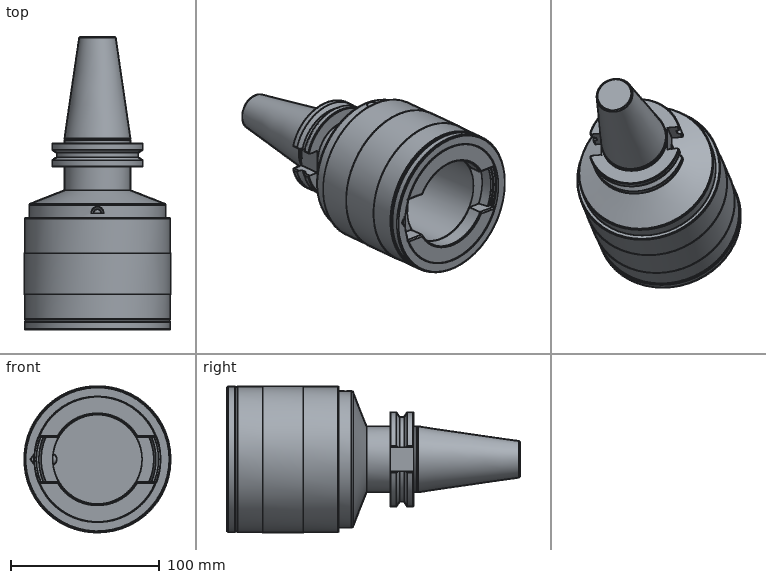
import cadquery as cq
import math


TOTAL_LENGTH = 196.8

GAUGE_RADIUS = 44.45 / 2
TAPER_LENGTH = 68.25
TAPER_HALF_SLOPE = 7 / 48
TAPER_TIP_RADIUS = GAUGE_RADIUS - TAPER_LENGTH * TAPER_HALF_SLOPE
TIP_CHAMFER = 0.8
RELIEF_DEPTH = 0.3
RELIEF_WIDTH = 1.0

FLANGE_RADIUS = 63.5 / 2
FLANGE_BACK_Y = -3.18
FLANGE_FRONT_Y = -19.05
FLANGE_CHAMFER = 0.5
GROOVE_BACK_Y = -7.5
GROOVE_FRONT_Y = -14.8
GROOVE_FLOOR_RADIUS = 28.6
GROOVE_RUN = 2.15

DRIVE_SLOT_WIDTH = 16.1
DRIVE_SLOT_FLOOR = 22.6
DRIVE_SLOT_CHAMFER = 1.0

NECK_RADIUS = GAUGE_RADIUS
NECK_END_Y = -34.8
COLLAR_RADIUS = 46.0
COLLAR_BACK_Y = -43.9
COLLAR_BEVEL = 1.1

BODY_RADIUS = 98.0 / 2
BODY_BACK_Y = -53.4
BODY_FRONT_Y = TAPER_LENGTH - TOTAL_LENGTH
BODY_CHAMFER = 0.8
BODY_BACK_CHAMFER = 0.6
BAND_RADIUS = 98.5 / 2
BAND_BACK_Y = -77.2
BAND_FRONT_Y = -104.6
RING_GROOVE_BACK_Y = -121.2
RING_GROOVE_FRONT_Y = -123.4
RING_GROOVE_DEPTH = 0.4

BORE_RADIUS = 30.0
BORE_DEPTH = 65.0
MOUTH_BORE_RADIUS = 30.3
MOUTH_BORE_CHAMFER = 0.7
INSERT_RADIUS = 42.3
SEAM_WIDTH = 0.3
SEAM_DEPTH = 0.3
MOUTH_SLOT_WIDTH = 29.8
MOUTH_SLOT_DEPTH = 11.3
MOUTH_SLOT_CHAMFER = 1.0
SLOT_FLOOR_RADIUS = 37.8
SLOT_WALL_RADIUS = 39.3
SLOT_LEDGE_RADIUS = 41.0
SLOT_LIP_DEPTH = 4.2
CLIP_GROOVE_RADIUS = 42.7
CLIP_GROOVE_START = 2.4
CLIP_GROOVE_END = 3.4

PIN_RADIUS = 4.0
PIN_TIP_X = -27.3
PIN_CENTER_X = PIN_TIP_X - PIN_RADIUS
PIN_Y = BODY_FRONT_Y + MOUTH_SLOT_DEPTH + PIN_RADIUS

MARK_TIP_RADIUS = 45.0
MARK_WIDTH = 7.0
MARK_DEPTH = 2.0

POCKET_Y = -50.1
POCKET_RADIUS = 4.3
POCKET_FLOOR_RADIUS = 2.5
POCKET_DEPTH = POCKET_RADIUS - POCKET_FLOOR_RADIUS

ORIGIN = (0, 0, 0)
AXIS_END = (0, 1, 0)


def revolve_profile(points):
    """Turn a closed (radius, y) profile about the Y axis."""
    return cq.Workplane("XY").polyline(points).close().revolve(360, ORIGIN, AXIS_END)


def cylinder(radius, back_y, front_y):
    return revolve_profile([(0, back_y), (radius, back_y), (radius, front_y), (0, front_y)])


def box_between(x_range, y_range, z_range):
    sizes = [high - low for low, high in (x_range, y_range, z_range)]
    return cq.Workplane("XY").box(*sizes, centered=False).translate((x_range[0], y_range[0], z_range[0]))


def turned_blank():
    return revolve_profile([
        (0, TAPER_LENGTH),
        (TAPER_TIP_RADIUS - TIP_CHAMFER, TAPER_LENGTH),
        (TAPER_TIP_RADIUS + TIP_CHAMFER * TAPER_HALF_SLOPE, TAPER_LENGTH - TIP_CHAMFER),
        (GAUGE_RADIUS, 0),
        (GAUGE_RADIUS - RELIEF_DEPTH, -RELIEF_DEPTH),
        (GAUGE_RADIUS - RELIEF_DEPTH, -RELIEF_WIDTH),
        (GAUGE_RADIUS, -RELIEF_WIDTH - RELIEF_DEPTH),
        (GAUGE_RADIUS, FLANGE_BACK_Y),
        (FLANGE_RADIUS - FLANGE_CHAMFER, FLANGE_BACK_Y),
        (FLANGE_RADIUS, FLANGE_BACK_Y - FLANGE_CHAMFER),
        (FLANGE_RADIUS, GROOVE_BACK_Y),
        (GROOVE_FLOOR_RADIUS, GROOVE_BACK_Y - GROOVE_RUN),
        (GROOVE_FLOOR_RADIUS, GROOVE_FRONT_Y + GROOVE_RUN),
        (FLANGE_RADIUS, GROOVE_FRONT_Y),
        (FLANGE_RADIUS, FLANGE_FRONT_Y + FLANGE_CHAMFER),
        (FLANGE_RADIUS - FLANGE_CHAMFER, FLANGE_FRONT_Y),
        (NECK_RADIUS, FLANGE_FRONT_Y),
        (NECK_RADIUS, NECK_END_Y),
        (COLLAR_RADIUS - COLLAR_BEVEL / 2, COLLAR_BACK_Y),
        (COLLAR_RADIUS, COLLAR_BACK_Y - COLLAR_BEVEL),
        (COLLAR_RADIUS, BODY_BACK_Y),
        (BODY_RADIUS - BODY_BACK_CHAMFER, BODY_BACK_Y),
        (BODY_RADIUS, BODY_BACK_Y - BODY_BACK_CHAMFER),
        (BODY_RADIUS, BAND_BACK_Y),
        (BAND_RADIUS, BAND_BACK_Y),
        (BAND_RADIUS, BAND_FRONT_Y),
        (BODY_RADIUS, BAND_FRONT_Y),
        (BODY_RADIUS, RING_GROOVE_BACK_Y),
        (BODY_RADIUS - RING_GROOVE_DEPTH, RING_GROOVE_BACK_Y - RING_GROOVE_DEPTH),
        (BODY_RADIUS - RING_GROOVE_DEPTH, RING_GROOVE_FRONT_Y + RING_GROOVE_DEPTH),
        (BODY_RADIUS, RING_GROOVE_FRONT_Y),
        (BODY_RADIUS, BODY_FRONT_Y + BODY_CHAMFER),
        (BODY_RADIUS - BODY_CHAMFER, BODY_FRONT_Y),
        (0, BODY_FRONT_Y),
    ])


def drive_slot():
    """Cutter for the -X drive slot: a box with bevelled edges at the flange rim."""
    half_width = DRIVE_SLOT_WIDTH / 2
    wide_half = half_width + DRIVE_SLOT_CHAMFER
    rim_x = math.sqrt(FLANGE_RADIUS**2 - wide_half**2)
    bevel_x = rim_x - DRIVE_SLOT_CHAMFER
    upper = [
        (-DRIVE_SLOT_FLOOR, half_width),
        (-bevel_x, half_width),
        (-rim_x, wide_half),
        (-FLANGE_RADIUS, wide_half),
    ]
    lower = [(x, -z) for x, z in reversed(upper)]
    slot = cq.Workplane("XZ").polyline(upper + lower).close().extrude(FLANGE_BACK_Y - FLANGE_FRONT_Y)
    return slot.translate((0, FLANGE_BACK_Y, 0))


def bore():
    front = BODY_FRONT_Y
    back = front + BORE_DEPTH
    step = front + MOUTH_SLOT_DEPTH
    return revolve_profile([
        (0, front),
        (MOUTH_BORE_RADIUS + MOUTH_BORE_CHAMFER, front),
        (MOUTH_BORE_RADIUS, front + MOUTH_BORE_CHAMFER),
        (MOUTH_BORE_RADIUS, step),
        (BORE_RADIUS, step),
        (BORE_RADIUS, back),
        (0, back),
    ])


def insert_seam():
    """Fine ring groove where the insert meets the body on the front face."""
    back = BODY_FRONT_Y + SEAM_DEPTH
    outer = cylinder(INSERT_RADIUS, back, BODY_FRONT_Y)
    return outer.cut(cylinder(INSERT_RADIUS - SEAM_WIDTH, back, BODY_FRONT_Y))


def mouth_slot():
    """Cutter for the two opposite slots: a bar across the mouth, ended by a turned wall."""
    front = BODY_FRONT_Y
    back = front + MOUTH_SLOT_DEPTH
    lip = front + SLOT_LIP_DEPTH
    wall = revolve_profile([
        (0, front),
        (INSERT_RADIUS, front),
        (INSERT_RADIUS, front + CLIP_GROOVE_START),
        (CLIP_GROOVE_RADIUS, front + CLIP_GROOVE_START),
        (CLIP_GROOVE_RADIUS, front + CLIP_GROOVE_END),
        (SLOT_LEDGE_RADIUS, front + CLIP_GROOVE_END),
        (SLOT_LEDGE_RADIUS, lip),
        (SLOT_WALL_RADIUS, lip),
        (SLOT_FLOOR_RADIUS, back),
        (0, back),
    ])
    half_width = MOUTH_SLOT_WIDTH / 2
    reach = CLIP_GROOVE_RADIUS
    bar = box_between((-reach, reach), (front, back), (-half_width, half_width))
    bevel_points = [
        (front, -half_width - MOUTH_SLOT_CHAMFER),
        (front, half_width + MOUTH_SLOT_CHAMFER),
        (front + MOUTH_SLOT_CHAMFER, half_width),
        (front + MOUTH_SLOT_CHAMFER, -half_width),
    ]
    bevel = cq.Workplane("YZ").polyline(bevel_points).close().extrude(reach, both=True)
    return bar.union(bevel).intersect(wall)


def pointer_mark():
    points = [
        (-INSERT_RADIUS, MARK_WIDTH / 2),
        (-MARK_TIP_RADIUS, 0),
        (-INSERT_RADIUS, -MARK_WIDTH / 2),
    ]
    mark = cq.Workplane("XZ").polyline(points).close().extrude(MARK_DEPTH)
    return mark.translate((0, BODY_FRONT_Y + MARK_DEPTH, 0))


def bore_pin():
    return cq.Workplane("XY").sphere(PIN_RADIUS).translate((PIN_CENTER_X, PIN_Y, 0))


def collar_pocket():
    """Cutter for a half cone sunk into the top of the collar, flat side toward the body."""
    cone = cq.Workplane("XY").circle(POCKET_FLOOR_RADIUS).workplane(offset=POCKET_DEPTH)
    cone = cone.circle(POCKET_RADIUS).loft()
    half = box_between((-POCKET_RADIUS, POCKET_RADIUS), (0, POCKET_RADIUS), (0, POCKET_DEPTH))
    return cone.intersect(half).translate((0, POCKET_Y, COLLAR_RADIUS - POCKET_DEPTH))


result = turned_blank()
for angle in (0, 180):
    result = result.cut(drive_slot().rotate(ORIGIN, AXIS_END, angle))
result = result.cut(bore())
result = result.cut(insert_seam())
result = result.cut(mouth_slot())
result = result.cut(pointer_mark())
result = result.cut(collar_pocket())
result = result.union(bore_pin())